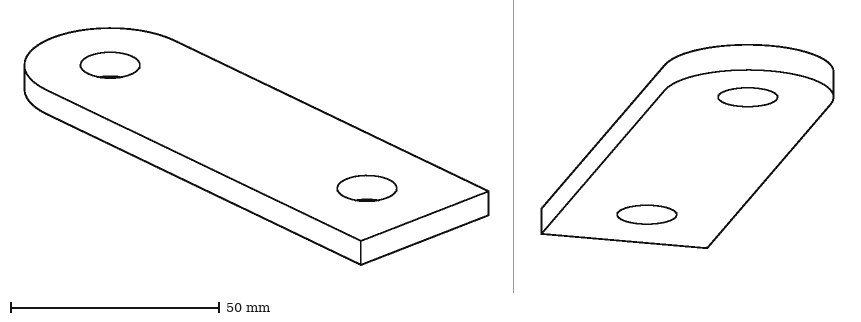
import cadquery as cq

length = 133.4
width = 41.2
thickness = 6.4
hole_diameter = 14.3
hole_spacing = 92.0

end_radius = width / 2
square_end_x = length - end_radius

bar = (
    cq.Workplane("XY")
    .moveTo(0, -end_radius)
    .lineTo(square_end_x, -end_radius)
    .lineTo(square_end_x, end_radius)
    .lineTo(0, end_radius)
    .threePointArc((-end_radius, 0), (0, -end_radius))
    .close()
    .extrude(thickness)
)

holes = (
    cq.Workplane("XY")
    .pushPoints([(0, 0), (hole_spacing, 0)])
    .circle(hole_diameter / 2)
    .extrude(thickness)
)

result = bar.cut(holes)